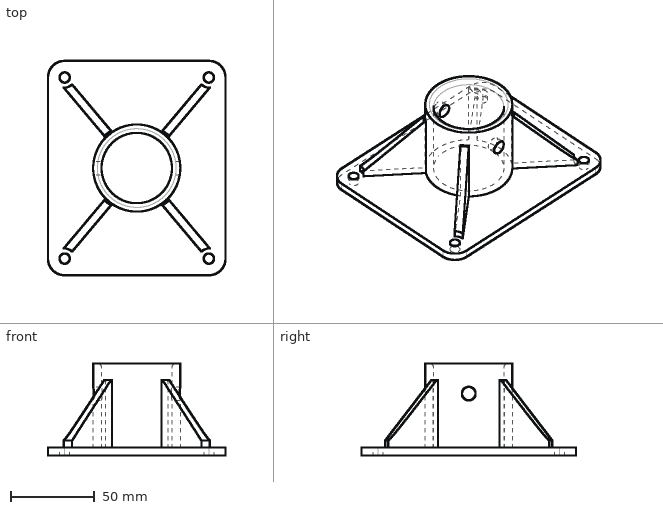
import cadquery as cq
import math

plate_length_x = 106.0
plate_length_y = 128.0
plate_thickness = 5.0
plate_corner_radius = 10.0
mount_hole_diameter = 6.0
mount_hole_x = plate_length_x / 2 - plate_corner_radius
mount_hole_y = plate_length_y / 2 - plate_corner_radius

total_height = 55.0
tube_outer_diameter = 52.0
tube_bore_diameter = 42.0
bore_mouth_radius = 2.5
pin_hole_diameter = 8.0
pin_hole_depth = 18.0
pin_hole_z = total_height - pin_hole_depth

rib_thickness = 5.0
rib_angle = 50.0
rib_height = 40.0
rib_end_height = 4.0
screw_clearance_radius = 6.0
rib_top_z = plate_thickness + rib_height
rib_length = math.hypot(mount_hole_x, mount_hole_y)

CORNER_SIGNS = [(sx, sy) for sx in (-1, 1) for sy in (-1, 1)]


def make_plate():
    """Rounded rectangular plate with its bottom at Z = 0."""
    plate = cq.Workplane("XY").box(
        plate_length_x, plate_length_y, plate_thickness, centered=(True, True, False)
    )
    return plate.edges("|Z").fillet(plate_corner_radius)


def make_tube():
    """Solid outside of the socket tube."""
    return cq.Workplane("XY").circle(tube_outer_diameter / 2).extrude(total_height)


def make_screw_clearance():
    """Cylinder around a screw axis that opens into a 45 degree cone above the rib end."""
    cone_height = rib_height - rib_end_height
    cone_top_radius = screw_clearance_radius + cone_height
    profile = (
        cq.Workplane("XZ")
        .moveTo(0, plate_thickness)
        .lineTo(screw_clearance_radius, plate_thickness)
        .lineTo(screw_clearance_radius, plate_thickness + rib_end_height)
        .lineTo(cone_top_radius, rib_top_z)
        .lineTo(0, rib_top_z)
        .close()
    )
    return profile.revolve(360, (0, 0, 0), (0, 1, 0))


def make_rib(sign_x, sign_y):
    """Rib towards one plate corner, its sloping end shaped around the screw axis."""
    direction_x = sign_x * math.cos(math.radians(rib_angle))
    direction_y = sign_y * math.sin(math.radians(rib_angle))
    turn = math.degrees(math.atan2(direction_y, direction_x))
    bar = (
        cq.Workplane("XY")
        .box(rib_length, rib_thickness, rib_top_z, centered=(False, True, False))
        .rotate((0, 0, 0), (0, 0, 1), turn)
    )
    screw_position = (sign_x * mount_hole_x, sign_y * mount_hole_y, 0)
    return bar.cut(make_screw_clearance().translate(screw_position))


def make_bore():
    """Blind bore that ends at the top of the plate."""
    return (
        cq.Workplane("XY")
        .workplane(offset=plate_thickness)
        .circle(tube_bore_diameter / 2)
        .extrude(total_height - plate_thickness)
    )


def make_pin_hole():
    """Cross hole along X through both tube walls."""
    return (
        cq.Workplane("YZ")
        .center(0, pin_hole_z)
        .circle(pin_hole_diameter / 2)
        .extrude(tube_outer_diameter / 2, both=True)
    )


def make_mount_holes():
    """Through holes at the four plate corners."""
    centres = [(sx * mount_hole_x, sy * mount_hole_y) for sx, sy in CORNER_SIGNS]
    return (
        cq.Workplane("XY")
        .pushPoints(centres)
        .circle(mount_hole_diameter / 2)
        .extrude(plate_thickness)
    )


body = make_plate().union(make_tube())
for sign_x, sign_y in CORNER_SIGNS:
    body = body.union(make_rib(sign_x, sign_y))

body = body.cut(make_bore())
body = body.faces(">Z").edges(cq.selectors.RadiusNthSelector(0)).fillet(bore_mouth_radius)
result = body.cut(make_pin_hole()).cut(make_mount_holes())